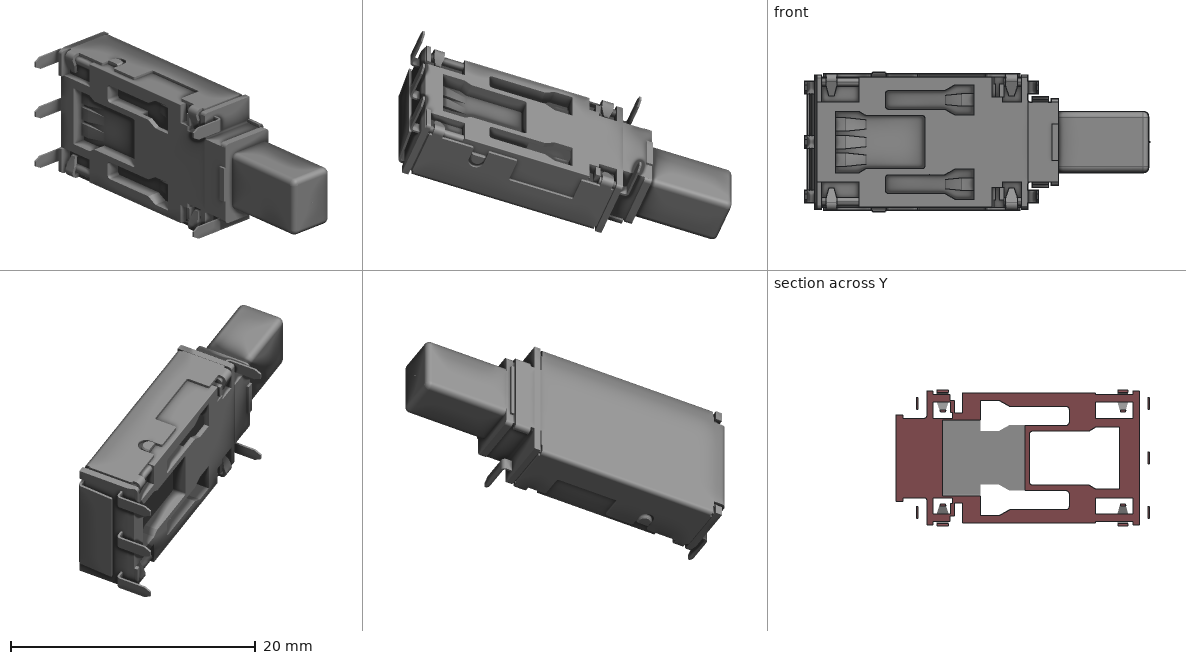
import cadquery as cq
import math


sheet = 0.25
cover_back = -0.05
cover_half = 5.58
cover_left = 1.52
cover_right = 17.6
cover_bend = 0.37
seam_y = -4.48
panel_corner = 0.15

body_half = cover_half - sheet
front_y = -5.0
front_round = 0.05
collar_left = 0.82
collar_right = 18.25
collar_half = 5.5
left_collar_width = 0.55
right_collar_width = 0.54
collar_round = 0.28

neck_half = 3.27
neck_front = -5.05
neck_end = 20.75
overrun = 1.4

snap_x = 6.05
arch_radius = 0.65
arch_center_y = -3.33
notch_left, notch_right, notch_top = 9.22, 14.8, -2.45
relief_x, relief_depth, relief_inner = 0.1, 0.48, 4.8
hook_ranges = [(1.75, 2.62), (16.4, 17.4)]
hook_radius = 0.48
hook_tilt = 20
hook_bend_y = -4.7
hook_reach = 3.75
hook_taper_start = 4.57
hook_tip_width = 0.42

flap_half = 4.28
recess_half, recess_round = 4.65, 0.42
flap_end_x, flap_end_y = 0.2, -3.3
flap_bend_x, flap_bend_y = 0.4, -0.5
flap_bulge_x, flap_bulge_y = 0.5, -0.17
flap_sheet = 0.2
neck_tab_left, neck_tab_right = 18.58, 19.93
neck_tab_half, neck_tab_front = 3.72, -0.55

bevel_x, bevel_y = 0.17, 0.5
lip_width, lip_front = 0.37, -5.27
neck_fillet = 0.17
pick_margin = 0.03
flange_left, flange_half, flange_back, flange_round = 20.13, 3.55, -0.23, 0.35
rim_half = 2.55
latch_left, latch_half, latch_front = 20.2, 1.5, -5.25
plug_end, plug_half, plug_back, plug_front = 28.1, 2.5, -0.25, -4.3
plug_round, plug_end_round = 0.5, 0.45
plug_dot_radius, plug_dot_root, plug_tip = 0.042, 0.15, 28.2

floor_y = -3.83
finger_height = 0.28
window_left, window_right = 2.5, 9.8
window_wide, window_narrow = 2.5, 2.17
window_taper_start, window_taper_end = 4.43, 5.0
window_corner = 0.2
window_pitch = 1.45
window_bend_x, window_tip_x, window_finger_width = 3.33, 5.0, 1.1
slot_left, slot_right, slot_z = 6.6, 13.8, 3.45
slot_narrow, slot_wide = 0.75, 1.25
slot_taper_start, slot_taper_end = 11.45, 12.3
slot_corner = 0.25
slot_bend_x, slot_tip_x, slot_finger_width = 12.83, 11.5, 1.01
finger_tip_width = 0.75
cavity_left, cavity_right, cavity_half = 10.2, 16.9, 3.1
front_skin = 0.42
cavity_round = 0.1

pocket_ranges = [(collar_left + left_collar_width, 4.43), (16.15, collar_right - right_collar_width)]
pocket_floor = -4.35
rail_inner, rail_outer, rail_front, rail_round = 4.55, 5.22, -4.82, 0.3
notch_x, post_x, notch_end_x = 15.3, 15.93, 16.3
notch_z, notch_deep = 3.7, 0.85
post_drop = 0.08
ledge_depth, ledge_top_z = 0.62, 4.75
ledge_width, ledge_top_width = 0.28, 0.15
snap_half, snap_center_y, snap_front = 0.6, -3.6, -3.92
snap_span = 11.42
snap_bevel = 0.1

pin_sheet = 0.17
pin_arm_y = -3.85
pin_tip_y = -7.02
pin_taper_length = 0.54
pin_width, pin_tip_width = 1.05, 0.45
pin_bend = 0.35
side_pin_z = 4.45
right_pin_end = 19.08


def block(x, y, z):
    """A box given by its (low, high) range on each axis."""
    size = [high - low for low, high in (x, y, z)]
    corner = (x[0], y[0], z[0])
    return cq.Workplane("XY").box(*size, centered=False).translate(corner)


def both_sides(shape):
    """The shape and its mirror image across the middle plane."""
    return shape.union(shape.mirror("XY"))



def side_wall_cutouts():
    """Arch around the snap and the wide notch, cut through both side walls."""
    arch = (
        cq.Workplane("XY")
        .moveTo(snap_x - arch_radius, seam_y - overrun)
        .lineTo(snap_x - arch_radius, arch_center_y)
        .threePointArc((snap_x, arch_center_y + arch_radius), (snap_x + arch_radius, arch_center_y))
        .lineTo(snap_x + arch_radius, seam_y - overrun)
        .close()
        .extrude(cover_half, both=True)
    )
    notch = block((notch_left, notch_right), (seam_y - overrun, notch_top), (-cover_half, cover_half))
    return arch.union(notch.edges("|Z and >Y").fillet(panel_corner))


def hook(start, end):
    """Tongue that bends round the housing's rail and leans into the pocket, on the +Z side."""
    middle_z = cover_half - hook_radius
    inner_radius = hook_radius - sheet
    tilt = math.radians(hook_tilt)
    mid_angle = math.radians(45 - hook_tilt / 2)

    def on_bend(radius, angle):
        return (hook_bend_y - radius * math.cos(angle), middle_z + radius * math.sin(angle))

    def tip(radius):
        y, z = on_bend(radius, -tilt)
        return (y + (z - hook_reach) * math.tan(tilt), hook_reach)

    profile = (
        cq.Workplane("YZ")
        .moveTo(seam_y, cover_half)
        .lineTo(hook_bend_y, cover_half)
        .threePointArc(on_bend(hook_radius, mid_angle), on_bend(hook_radius, -tilt))
        .lineTo(*tip(hook_radius))
        .lineTo(*tip(inner_radius))
        .lineTo(*on_bend(inner_radius, -tilt))
        .threePointArc(on_bend(inner_radius, mid_angle), (hook_bend_y, body_half))
        .lineTo(seam_y, body_half)
        .close()
        .extrude(end - start)
        .translate((start, 0, 0))
    )
    middle_x = (start + end) / 2
    outline = (
        cq.Workplane("XZ")
        .polyline([
            (start, cover_half),
            (start, hook_taper_start),
            (middle_x - hook_tip_width / 2, hook_reach),
            (middle_x + hook_tip_width / 2, hook_reach),
            (end, hook_taper_start),
            (end, cover_half),
        ])
        .close()
        .extrude(-lip_front + overrun)
    )
    return profile.intersect(outline)


def end_flap():
    """Strip that leaves the back plate over the left collar and folds down the end."""
    back = cover_back
    diagonal = flap_sheet * math.sqrt(0.5)
    outer_mid = (flap_bulge_x, flap_bulge_y)
    inner_mid = (flap_bulge_x + diagonal, flap_bulge_y - diagonal)
    return (
        cq.Workplane("XY")
        .moveTo(cover_left + relief_x, back)
        .lineTo(collar_left, back)
        .threePointArc(outer_mid, (flap_bend_x, flap_bend_y))
        .lineTo(flap_end_x, flap_end_y)
        .lineTo(flap_end_x + flap_sheet, flap_end_y)
        .lineTo(flap_bend_x + flap_sheet, flap_bend_y)
        .threePointArc(inner_mid, (collar_left, back - sheet))
        .lineTo(cover_left + relief_x, back - sheet)
        .close()
        .extrude(flap_half, both=True)
    )


def neck_plate():
    """Back plate carried on over the right collar to two tabs folded along the neck."""
    bridge = block((cover_right - overrun, neck_tab_right), (cover_back - sheet, cover_back),
                   (-neck_half, neck_half))
    x_range = (neck_tab_left, neck_tab_right)
    tabs = block(x_range, (neck_tab_front, cover_back), (-neck_tab_half, neck_tab_half))
    tabs = tabs.edges("|X and >Y").fillet(cover_bend)
    hollow_half = neck_tab_half - sheet
    hollow = block(x_range, (neck_tab_front, cover_back - sheet), (-hollow_half, hollow_half))
    hollow = hollow.edges("|X and >Y").fillet(cover_bend - sheet)
    return bridge.union(tabs.cut(hollow))


def make_cover():
    x_range = (cover_left, cover_right)
    shell = block(x_range, (seam_y, cover_back), (-cover_half, cover_half))
    shell = shell.edges("|X and >Y").fillet(cover_bend)
    hollow = block(x_range, (seam_y, cover_back - sheet), (-body_half, body_half))
    hollow = hollow.edges("|X and >Y").fillet(cover_bend - sheet)
    shell = shell.cut(hollow).cut(side_wall_cutouts())
    shell = shell.edges("|Z and <Y").fillet(panel_corner)
    for edge_x in x_range:
        relief = block((edge_x - relief_x, edge_x + relief_x), (cover_back - relief_depth, 0),
                       (relief_inner, cover_half))
        shell = shell.cut(both_sides(relief))
    shell = shell.union(end_flap()).union(neck_plate())
    for start, end in hook_ranges:
        shell = shell.union(both_sides(hook(start, end)))
    return shell



def main_block():
    back = cover_back - sheet
    core = block((collar_left, collar_right), (front_y, back), (-body_half, body_half))
    core = core.edges("|X and >Y").fillet(cover_bend - sheet).edges("|X and <Y").fillet(front_round)
    left = block((collar_left, collar_left + left_collar_width), (front_y, 0), (-collar_half, collar_half))
    right = block((collar_right - right_collar_width, collar_right), (front_y, 0),
                  (-collar_half, collar_half))
    right = right.edges("|X and <Y").fillet(collar_round)
    return core.union(left).union(right)


def left_bevel():
    """Sloped front edge of the left collar."""
    return (
        cq.Workplane("XY")
        .polyline([
            (collar_left, front_y),
            (collar_left + bevel_x, front_y),
            (collar_left, front_y + bevel_y),
        ])
        .close()
        .extrude(collar_half, both=True)
    )


def flap_recess():
    """Notch in the back of the left collar, rounded where the flap bends over it."""
    floor = cover_back - sheet
    end = collar_left + left_collar_width
    notch = block((collar_left, end), (floor - recess_round, 0), (-recess_half, recess_half))
    keep = block((collar_left, end), (floor - 2 * recess_round, floor), (-recess_half, recess_half))
    return notch.cut(keep.edges("|Z and <X and >Y").fillet(recess_round))


def collar_lip():
    """Raised corner on the left collar, on the +Z side."""
    end = collar_left + left_collar_width
    lip = block((end - lip_width, end), (lip_front, front_y + collar_round), (neck_half, collar_half))
    return lip.edges("|X and <Y and >Z").fillet(collar_round)


def neck():
    body = block((collar_right, neck_end), (neck_front, cover_back - sheet), (-neck_half, neck_half))
    flange = block((flange_left, neck_end), (neck_front, flange_back), (-flange_half, flange_half))
    flange = flange.edges("|X").fillet(flange_round)
    rim = block((flange_left, neck_end - flange_round), (flange_back, 0), (-rim_half, rim_half))
    latch = block((latch_left, neck_end), (latch_front, neck_front), (-latch_half, latch_half))
    return body.union(flange).union(rim).union(latch)


def plug():
    body = block((neck_end, plug_end), (plug_front, plug_back), (-plug_half, plug_half))
    body = body.edges("|X").fillet(plug_round).faces(">X").edges().fillet(plug_end_round)
    middle_y = (plug_front + plug_back) / 2
    dot = (
        cq.Workplane("YZ")
        .center(middle_y, 0)
        .circle(plug_dot_radius)
        .extrude(plug_tip - plug_end + plug_dot_root)
        .translate((plug_end - plug_dot_root, 0, 0))
    )
    return body.union(dot)


def window(closed_end, taper_end, taper_start, open_end, narrow_half, wide_half, corner):
    """Front opening that is narrow with rounded corners at one end and widens at the other."""
    tool = (
        cq.Workplane("XZ", origin=(0, floor_y, 0))
        .polyline([
            (closed_end, -narrow_half),
            (taper_end, -narrow_half),
            (taper_start, -wide_half),
            (open_end, -wide_half),
            (open_end, wide_half),
            (taper_start, wide_half),
            (taper_end, narrow_half),
            (closed_end, narrow_half),
        ])
        .close()
        .extrude(floor_y - front_y + overrun)
    )
    rounded_end = ">X" if closed_end > open_end else "<X"
    return tool.edges("|Y and " + rounded_end).fillet(corner)


def finger(root_x, bend_x, tip_x, root_width):
    """Contact finger: a flat root at the window's end, then a tapered tongue down to the floor."""
    crest = floor_y - finger_height
    root_half = root_width / 2
    tip_half = finger_tip_width / 2
    profile = (
        cq.Workplane("XY")
        .polyline([(root_x, floor_y), (root_x, crest), (bend_x, crest), (tip_x, floor_y)])
        .close()
        .extrude(root_half, both=True)
    )
    outline = (
        cq.Workplane("XZ", origin=(0, floor_y, 0))
        .polyline([
            (root_x, root_half),
            (bend_x, root_half),
            (tip_x, tip_half),
            (tip_x, -tip_half),
            (bend_x, -root_half),
            (root_x, -root_half),
        ])
        .close()
        .extrude(finger_height)
    )
    return profile.intersect(outline)


def center_window():
    return window(window_right, window_taper_end, window_taper_start, window_left,
                  window_narrow, window_wide, window_corner)


def side_slot():
    slot = window(slot_left, slot_taper_start, slot_taper_end, slot_right,
                  slot_narrow, slot_wide, slot_corner)
    return slot.translate((0, 0, slot_z))


def inner_cavity():
    """Hollow behind the front plate that joins the two side slots."""
    cavity = block((cavity_left, cavity_right), (front_y + front_skin, floor_y), (-cavity_half, cavity_half))
    return cavity.edges("|X").fillet(cavity_round)


def hook_pocket(start, end):
    return block((start, end), (lip_front, pocket_floor), (neck_half, cover_half))


def pocket_rail(start, end):
    """Rounded rail along the outer side of a pocket, under the hook."""
    rail = block((start, end), (rail_front, pocket_floor), (rail_inner, rail_outer))
    return rail.edges("|X and <Y").fillet(rail_round)


def side_notch():
    """Opening in the side with a stepped ledge at its left, on the +Z side."""
    bottom = front_y + notch_deep
    opening = block((notch_x, notch_end_x), (front_y, bottom), (notch_z, cover_half))
    steps = ((ledge_width, (notch_z, ledge_top_z)), (ledge_top_width, (ledge_top_z, cover_half)))
    for width, z_range in steps:
        ledge = block((notch_x, notch_x + width), (front_y + ledge_depth, bottom), z_range)
        opening = opening.cut(ledge)
    return opening


def notch_post():
    """Low post between a side notch and the hook pocket, on the +Z side."""
    y_range = (front_y + post_drop, front_y + notch_deep)
    return block((post_x, notch_end_x), y_range, (notch_z, ledge_top_z))


def snap():
    """Half-round bump with a bevelled rim that stands in the cover's arch, on the +Z side."""
    return (
        cq.Workplane("XY", origin=(0, 0, body_half))
        .moveTo(snap_x - snap_half, snap_front)
        .lineTo(snap_x - snap_half, snap_center_y)
        .threePointArc((snap_x, snap_center_y + snap_half), (snap_x + snap_half, snap_center_y))
        .lineTo(snap_x + snap_half, snap_front)
        .close()
        .extrude(snap_span / 2 - body_half)
        .faces(">Z")
        .edges("not <Y")
        .chamfer(snap_bevel)
    )


def pin(wall_x, outer_x, z):
    """Bent leg from an end wall out to outer_x and then straight toward the front."""
    half = pin_width / 2
    tip_half = pin_tip_width / 2
    outward = 1 if outer_x > wall_x else -1
    inner_x = outer_x - outward * pin_sheet
    outer_side = ">X" if outward > 0 else "<X"
    bar = (
        cq.Workplane("XY", origin=(0, 0, z))
        .polyline([
            (wall_x, pin_arm_y),
            (outer_x, pin_arm_y),
            (outer_x, pin_tip_y),
            (inner_x, pin_tip_y),
            (inner_x, pin_arm_y - pin_sheet),
            (wall_x, pin_arm_y - pin_sheet),
        ])
        .close()
        .extrude(half, both=True)
        .edges("|Z and >Y and " + outer_side)
        .fillet(pin_bend)
        .edges(cq.selectors.NearestToPointSelector((inner_x, pin_arm_y - pin_sheet, z)))
        .fillet(pin_bend - pin_sheet)
    )
    taper_y = pin_tip_y + pin_taper_length
    outline = (
        cq.Workplane("YZ", origin=(min(wall_x, outer_x), 0, z))
        .polyline([
            (pin_arm_y, half),
            (taper_y, half),
            (pin_tip_y, tip_half),
            (pin_tip_y, -tip_half),
            (taper_y, -half),
            (pin_arm_y, -half),
        ])
        .close()
        .extrude(abs(outer_x - wall_x))
    )
    return bar.intersect(outline)


def make_housing(cover):
    body = main_block().cut(left_bevel()).cut(flap_recess()).union(neck())
    neck_root = cq.selectors.BoxSelector(
        (collar_right - pick_margin, front_y, -neck_half - pick_margin),
        (collar_right + pick_margin, cover_back, neck_half + pick_margin),
    )
    body = body.edges(neck_root).edges("|Y").fillet(neck_fillet)
    body = body.union(plug()).union(both_sides(collar_lip()))

    body = body.cut(inner_cavity()).cut(center_window()).cut(both_sides(side_slot()))
    for row in (-1, 0, 1):
        contact = finger(window_left, window_bend_x, window_tip_x, window_finger_width)
        body = body.union(contact.translate((0, 0, row * window_pitch)))
    contact = finger(slot_right, slot_bend_x, slot_tip_x, slot_finger_width)
    body = body.union(both_sides(contact.translate((0, 0, slot_z))))

    for start, end in pocket_ranges:
        body = body.cut(both_sides(hook_pocket(start, end)))
        body = body.union(both_sides(pocket_rail(start, end)))
    body = body.cut(both_sides(side_notch())).union(both_sides(notch_post()))
    body = body.union(both_sides(snap()))

    for z in (-side_pin_z, 0, side_pin_z):
        body = body.union(pin(collar_left, 0, z))
    for z in (-side_pin_z, side_pin_z):
        body = body.union(pin(collar_right, right_pin_end, z))
    return body.cut(cover)


cover = make_cover()
housing = make_housing(cover)
result = cq.Compound.makeCompound([cover.solids().val(), housing.solids().val()])